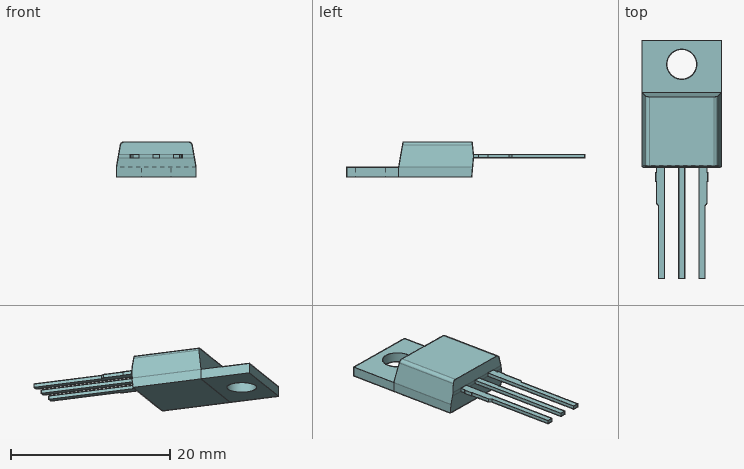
import cadquery as cq
import math


width = 10.03
total_length = 29.95
total_height = 4.43

tab_thickness = 1.27
tab_length = 6.53
hole_diameter = 3.74
hole_edge_distance = 3.0

lead_count = 3
lead_pitch = 2.54
lead_width = 0.8
lead_thickness = 0.46
lead_bottom = 2.42
lead_length = 14.0
shoulder_extra = 0.26
shoulder_length = 4.49
taper_end = 4.85
bump_height = 0.085
bump_start = 0.65
bump_end = 1.81

side_draft = math.radians(10)
back_draft = math.radians(10)
upper_front_draft = math.radians(6)
lower_front_draft = math.radians(5)
top_edge_radius = 0.48

housing_length = total_length - lead_length - tab_length
lead_top = lead_bottom + lead_thickness
tab_end = housing_length + tab_length
upper_height = total_height - tab_thickness
top_half_width = width / 2 - upper_height * math.tan(side_draft)


def make_housing():
    """Moulded body: a side profile crossed with a front profile that narrows above the tab."""
    top_front = (total_height - lead_top) * math.tan(upper_front_draft)
    bottom_front = lead_bottom * math.tan(lower_front_draft)
    top_back = housing_length - upper_height * math.tan(back_draft)
    side_profile = (
        cq.Workplane("YZ")
        .polyline([
            (bottom_front, 0),
            (housing_length, 0),
            (housing_length, tab_thickness),
            (top_back, total_height),
            (top_front, total_height),
            (0, lead_top),
            (0, lead_bottom),
        ])
        .close()
        .extrude(width / 2, both=True)
    )
    front_profile = (
        cq.Workplane("XZ")
        .polyline([
            (-width / 2, 0),
            (width / 2, 0),
            (width / 2, tab_thickness),
            (top_half_width, total_height),
            (-top_half_width, total_height),
            (-width / 2, tab_thickness),
        ])
        .close()
        .extrude(-housing_length)
        .edges("|Y and >Z")
        .fillet(top_edge_radius)
    )
    return side_profile.intersect(front_profile)


def make_tab():
    """Flat metal tab behind the housing, with a through mounting hole."""
    hole_y = tab_end - hole_edge_distance
    plate = (
        cq.Workplane("XY")
        .center(0, housing_length + tab_length / 2)
        .rect(width, tab_length)
        .extrude(tab_thickness)
    )
    hole = cq.Workplane("XY").center(0, hole_y).circle(hole_diameter / 2).extrude(tab_thickness)
    return plate.cut(hole)


def make_lead(position):
    """Straight lead at position -1, 0 or 1; the outer leads have a bumped shoulder on their outer side."""
    center_x = position * lead_pitch
    half_width = lead_width / 2
    lead = (
        cq.Workplane("XY", origin=(center_x, -lead_length / 2, lead_bottom))
        .rect(lead_width, lead_length)
        .extrude(lead_thickness)
    )
    if position == 0:
        return lead

    edge_x = center_x + position * half_width
    shoulder_x = edge_x + position * shoulder_extra
    bump_x = shoulder_x + position * bump_height
    shoulder = (
        cq.Workplane("XY", origin=(0, 0, lead_bottom))
        .polyline([
            (center_x, 0),
            (shoulder_x, 0),
            (shoulder_x, -bump_start),
            (bump_x, -bump_start),
            (bump_x, -bump_end),
            (shoulder_x, -bump_end),
            (shoulder_x, -shoulder_length),
            (edge_x, -taper_end),
            (center_x, -taper_end),
        ])
        .close()
        .extrude(lead_thickness)
    )
    return lead.union(shoulder)


housing = make_housing()
tab = make_tab()
leads = [make_lead(index - lead_count // 2) for index in range(lead_count)]

result = cq.Compound.makeCompound([housing.val(), tab.val(), *[lead.val() for lead in leads]])